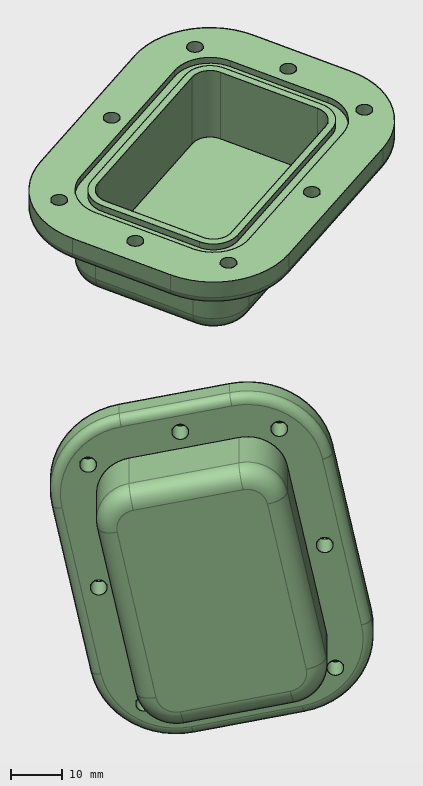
import cadquery as cq

flange_width = 56.0
flange_length = 71.0
flange_thickness = 5.95
flange_corner = 17.0
flange_edge_fillet = 2.0

total_height = 21.0
body_width = 38.0
body_length = 53.0
body_corner = 8.0
body_bottom_fillet = 4.0

rim_thickness = 1.5
groove_width = 2.5
groove_depth = 1.5
wall = rim_thickness + groove_width
pocket_width = body_width - 2 * wall
pocket_length = body_length - 2 * wall
pocket_corner = body_corner - wall
rim_corner = pocket_corner + rim_thickness
floor_thickness = wall

hole_diameter = 3.3
side_hole_x = 22.6
end_hole_y = 30.0
corner_hole_x = 19.1
corner_hole_y = 26.7


def rounded_block(width, length, corner, bottom, top):
    """Upright block with rounded corners, centred on the Z axis."""
    return (
        cq.Workplane("XY")
        .workplane(offset=bottom)
        .rect(width, length)
        .extrude(top - bottom)
        .edges("|Z")
        .fillet(corner)
    )


def make_flange():
    flange = rounded_block(flange_width, flange_length, flange_corner, -flange_thickness, 0)
    return flange.faces("<Z").edges().fillet(flange_edge_fillet)


def make_body():
    body = rounded_block(body_width, body_length, body_corner, -total_height, 0)
    return body.faces("<Z").edges().fillet(body_bottom_fillet)


def make_groove():
    outer = rounded_block(body_width, body_length, body_corner, -groove_depth, 0)
    rim = rounded_block(
        pocket_width + 2 * rim_thickness,
        pocket_length + 2 * rim_thickness,
        rim_corner,
        -groove_depth,
        0,
    )
    return outer.cut(rim)


def make_pocket():
    pocket_bottom = floor_thickness - total_height
    return rounded_block(pocket_width, pocket_length, pocket_corner, pocket_bottom, 0)


def make_holes():
    points = [(side_hole_x, 0), (-side_hole_x, 0), (0, end_hole_y), (0, -end_hole_y)]
    for x_side in (-1, 1):
        for y_side in (-1, 1):
            points.append((x_side * corner_hole_x, y_side * corner_hole_y))
    return (
        cq.Workplane("XY")
        .pushPoints(points)
        .circle(hole_diameter / 2)
        .extrude(-flange_thickness)
    )


result = make_flange().union(make_body()).cut(make_groove()).cut(make_pocket()).cut(make_holes())